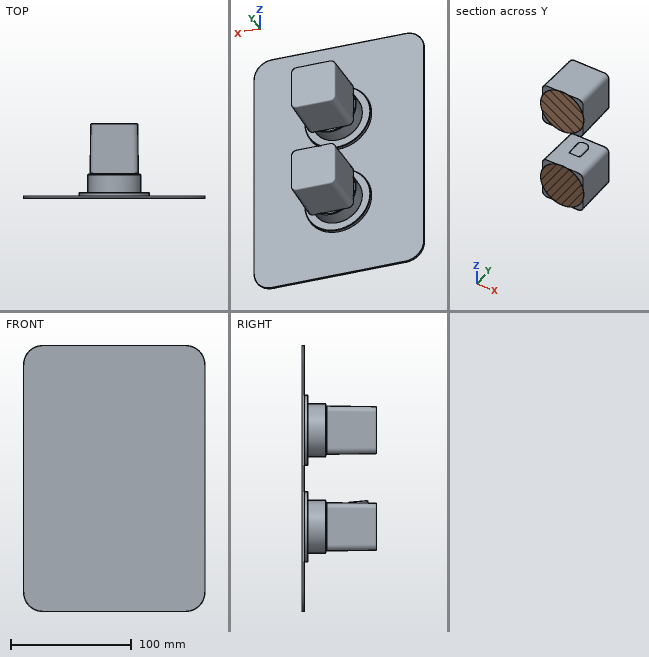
import cadquery as cq

plate_width = 150.0
plate_height = 220.0
plate_thickness = 2.0
plate_corner_radius = 16.0

overall_depth = 61.8
knob_spacing = 79.9

flange_diameter = 58.0
flange_depth = 3.0
flange_chamfer = 0.5
collar_diameter = 44.0
collar_depth = 15.0
collar_chamfer = 0.7

neck_diameter = 35.2
neck_depth = 0.7

grip_base_width = 40.0
grip_taper_degrees = 0.7
grip_corner_radius = 4.8
grip_edge_fillet = 1.0

button_width = 11.0
button_length = 16.5
button_tip_height = 1.8
button_heel_height = 0.2
button_tip_setback = 7.0
button_root_depth = 3.5
button_corner_radius = 4.5
button_edge_fillet = 1.3

flange_start = plate_thickness
collar_start = flange_start + flange_depth
neck_start = collar_start + collar_depth
grip_start = neck_start + neck_depth
grip_depth = overall_depth - grip_start


def back_facing_plane(y):
    """Plane at depth y whose normal points along +Y and whose local y axis is +Z."""
    return cq.Workplane(cq.Plane(origin=(0, y, 0), xDir=(-1, 0, 0), normal=(0, 1, 0)))


def make_plate():
    return (
        back_facing_plane(0)
        .rect(plate_width, plate_height)
        .extrude(plate_thickness)
        .edges("|Y")
        .fillet(plate_corner_radius)
    )


def make_grip():
    block = (
        back_facing_plane(grip_start)
        .rect(grip_base_width, grip_base_width)
        .extrude(grip_depth, taper=grip_taper_degrees)
    )
    rounded_block = block.edges("not #Y").fillet(grip_corner_radius)
    return rounded_block.faces(">Y").edges().fillet(grip_edge_fillet)


def make_knob():
    """Flange, collar, neck and grip as one solid, centred on the Y axis."""
    flange = (
        back_facing_plane(flange_start)
        .circle(flange_diameter / 2)
        .extrude(flange_depth)
        .faces(">Y")
        .chamfer(flange_chamfer)
    )
    collar = (
        back_facing_plane(collar_start)
        .circle(collar_diameter / 2)
        .extrude(collar_depth)
        .faces(">Y")
        .chamfer(collar_chamfer)
    )
    neck = back_facing_plane(neck_start).circle(neck_diameter / 2).extrude(neck_depth)
    return flange.union(collar).union(neck).union(make_grip())


def make_button():
    """Wedge rooted inside the grip, highest near the grip tip, with rounded upper edges."""
    tip_y = overall_depth - button_tip_setback
    heel_y = tip_y - button_length
    surface_z = grip_base_width / 2
    root_z = surface_z - button_root_depth
    wedge = (
        cq.Workplane("YZ")
        .moveTo(heel_y, root_z)
        .lineTo(tip_y, root_z)
        .lineTo(tip_y, surface_z + button_tip_height)
        .lineTo(heel_y, surface_z + button_heel_height)
        .close()
        .extrude(button_width / 2, both=True)
    )
    rounded_end = wedge.edges("|Z and >Y").fillet(button_corner_radius)
    return rounded_end.faces(">Z").edges().fillet(button_edge_fillet)


plate = make_plate()

upper_knob = make_knob().translate((0, 0, knob_spacing / 2))
lower_knob = make_knob().union(make_button()).translate((0, 0, -knob_spacing / 2))

result = cq.Compound.makeCompound([plate.val(), upper_knob.val(), lower_knob.val()])